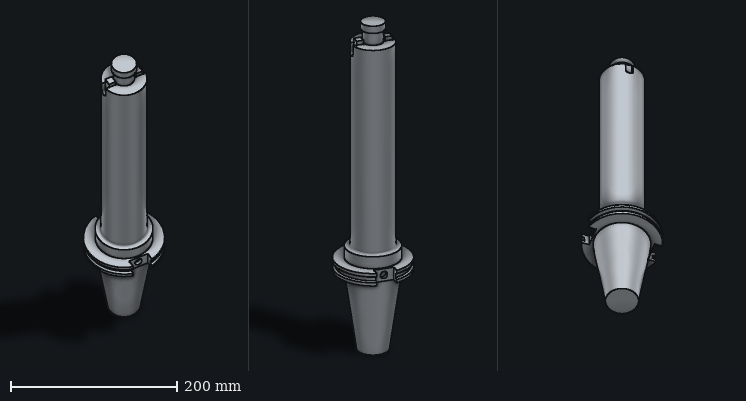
import cadquery as cq

total_height = 433.2
gauge_height = 101.5
flange_bottom = 105.0
flange_top = 121.5
flange_middle = (flange_bottom + flange_top) / 2
collar_top = 137.0
shank_top = 407.0
pilot_top = 423.7
key_top = 412.0
key_bottom = 391.2

gauge_diameter = 69.8
taper_ratio = 7 / 24
small_end_diameter = gauge_diameter - taper_ratio * gauge_height
flange_diameter = 98.5
shank_diameter = 56.0
pilot_diameter = 25.5
screw_head_diameter = 30.8
shank_fillet = 2.0

groove_depth = 4.0
groove_floor_bottom = 110.0
groove_floor_top = 115.0
groove_mouth_bottom = 109.0
groove_mouth_top = 117.0

notch_width = 25.5
notch_floor_offset = 37.3
hole_diameter = 9.0
hole_depth = 5.0

key_width = 9.5
key_inner_offset = 14.0
key_outer_offset = 23.0


def make_turned_blank():
    """Taper, flange, collar, shank and pilot as one revolved profile."""
    gauge_radius = gauge_diameter / 2
    shank_radius = shank_diameter / 2
    pilot_radius = pilot_diameter / 2
    flange_radius = flange_diameter / 2
    profile = (
        cq.Workplane("XZ")
        .moveTo(0, 0)
        .lineTo(small_end_diameter / 2, 0)
        .lineTo(gauge_radius, gauge_height)
        .lineTo(gauge_radius, flange_bottom)
        .lineTo(flange_radius, flange_bottom)
        .lineTo(flange_radius, groove_mouth_bottom)
        .lineTo(flange_radius - groove_depth, groove_floor_bottom)
        .lineTo(flange_radius - groove_depth, groove_floor_top)
        .lineTo(flange_radius, groove_mouth_top)
        .lineTo(flange_radius, flange_top)
        .lineTo(gauge_radius, flange_top)
        .lineTo(gauge_radius, collar_top)
        .lineTo(shank_radius + shank_fillet, collar_top)
        .radiusArc((shank_radius, collar_top + shank_fillet), shank_fillet)
        .lineTo(shank_radius, shank_top)
        .lineTo(pilot_radius, shank_top)
        .lineTo(pilot_radius, pilot_top)
        .lineTo(0, pilot_top)
        .close()
    )
    return profile.revolve(360, (0, 0, 0), (0, 1, 0))


def make_notch_cutter(side):
    """Drive notch and the blind hole in its floor; side is -1 or 1 along X."""
    notch_depth = flange_diameter / 2 - notch_floor_offset
    notch = cq.Workplane("XY").box(
        notch_depth, notch_width, flange_top - flange_bottom
    ).translate((side * (notch_floor_offset + notch_depth / 2), 0, flange_middle))
    hole = (
        cq.Workplane("YZ", origin=(side * notch_floor_offset, 0, flange_middle))
        .circle(hole_diameter / 2)
        .extrude(-side * hole_depth)
    )
    return notch.union(hole)


def make_key_shape(side, outer_offset):
    """Upright bar with a half-round lower end; side is -1 or 1 along Y."""
    half_width = key_width / 2
    arc_height = key_bottom + half_width
    return (
        cq.Workplane("XZ", origin=(0, side * key_inner_offset, 0))
        .moveTo(-half_width, key_top)
        .lineTo(-half_width, arc_height)
        .threePointArc((0, key_bottom), (half_width, arc_height))
        .lineTo(half_width, key_top)
        .close()
        .extrude(-side * (outer_offset - key_inner_offset))
    )


def make_arbor():
    """Turned blank with the flange notches and the key seats cut into it."""
    body = make_turned_blank()
    for side in (-1, 1):
        body = body.cut(make_notch_cutter(side))
        body = body.cut(make_key_shape(side, shank_diameter / 2))
    return body


def make_screw_head():
    """Round lock screw head resting on the pilot."""
    return (
        cq.Workplane("XY", origin=(0, 0, pilot_top))
        .circle(screw_head_diameter / 2)
        .extrude(total_height - pilot_top)
    )


arbor = make_arbor()
screw_head = make_screw_head()
keys = [make_key_shape(side, key_outer_offset) for side in (-1, 1)]

result = cq.Compound.makeCompound([arbor.val(), screw_head.val(), *[key.val() for key in keys]])